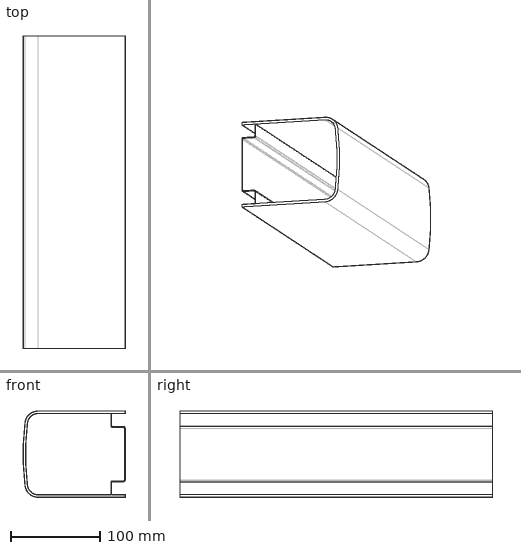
import cadquery as cq
import math

depth = 114.75
length = 351.07
height = 97.0

cover_wall = 3.0
corner_radius = 15.0
bow_radius = 300.0

sheet_wall = 1.0
sheet_setback = 16.25
sheet_step_height = 62.0
sheet_inner_bend_radius = 1.0
sheet_outer_bend_radius = sheet_inner_bend_radius + sheet_wall

front_x = -depth / 2
back_x = depth / 2


def cover_outline(offset):
    """Closed outline of the cover, moved inwards by offset."""
    half_height = height / 2 - offset
    corner = corner_radius - offset
    bow = bow_radius - offset
    bow_center_x = front_x + bow_radius
    corner_center_z = height / 2 - corner_radius

    tangent_angle = math.asin(corner_center_z / (bow_radius - corner_radius))
    corner_center_x = bow_center_x - (bow_radius - corner_radius) * math.cos(tangent_angle)
    tangent_x = bow_center_x - bow * math.cos(tangent_angle)
    tangent_z = bow * math.sin(tangent_angle)

    middle_angle = (tangent_angle + math.pi / 2) / 2
    middle_x = corner_center_x - corner * math.cos(middle_angle)
    middle_z = corner_center_z + corner * math.sin(middle_angle)

    return (
        cq.Workplane("XZ")
        .moveTo(back_x, half_height)
        .lineTo(corner_center_x, half_height)
        .threePointArc((middle_x, middle_z), (tangent_x, tangent_z))
        .threePointArc((front_x + offset, 0), (tangent_x, -tangent_z))
        .threePointArc((middle_x, -middle_z), (corner_center_x, -half_height))
        .lineTo(back_x, -half_height)
        .close()
    )


def extrude_centered(outline):
    return outline.extrude(length / 2, both=True)


def make_cover():
    outside = extrude_centered(cover_outline(0))
    inside = extrude_centered(cover_outline(cover_wall))
    return outside.cut(inside)


def round_bends(sheet, bends, radius):
    """Fillet the lengthwise edges at the given (x, z) places, above and below the middle."""
    for x, z in bends:
        for side in (1, -1):
            sheet = sheet.edges(cq.NearestToPointSelector((x, 0, side * z))).fillet(radius)
    return sheet


def make_back_sheet():
    """Hat profile: flanges meet the cover walls, the step reaches the open edge."""
    flange_outer_x = back_x - sheet_setback + sheet_wall
    flange_inner_x = back_x - sheet_setback
    flange_end_z = height / 2 - cover_wall
    step_outer_z = sheet_step_height / 2
    step_inner_z = step_outer_z - sheet_wall
    step_inner_x = back_x - sheet_wall

    outline = cq.Workplane("XZ").polyline([
        (flange_outer_x, flange_end_z),
        (flange_outer_x, step_outer_z),
        (back_x, step_outer_z),
        (back_x, -step_outer_z),
        (flange_outer_x, -step_outer_z),
        (flange_outer_x, -flange_end_z),
        (flange_inner_x, -flange_end_z),
        (flange_inner_x, -step_inner_z),
        (step_inner_x, -step_inner_z),
        (step_inner_x, step_inner_z),
        (flange_inner_x, step_inner_z),
        (flange_inner_x, flange_end_z),
    ]).close()
    sheet = extrude_centered(outline)

    outer_bends = [(back_x, step_outer_z), (flange_inner_x, step_inner_z)]
    inner_bends = [(step_inner_x, step_inner_z), (flange_outer_x, step_outer_z)]
    sheet = round_bends(sheet, outer_bends, sheet_outer_bend_radius)
    return round_bends(sheet, inner_bends, sheet_inner_bend_radius)


result = make_cover().union(make_back_sheet())